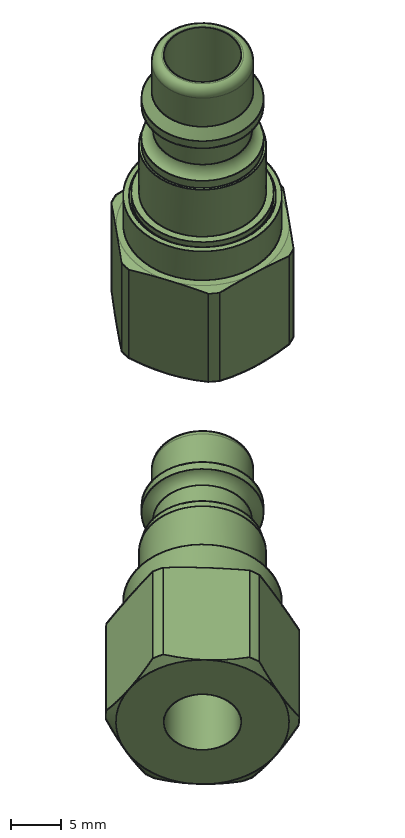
import cadquery as cq
import math

HEX_ACROSS_FLATS = 17.0
HEX_CORNER_DIAMETER = 19.0
HEX_HEIGHT = 13.0
HEX_BOTTOM_CHAMFER_ANGLE = 30.0
HEX_TOP_CHAMFER_ANGLE = 10.0

COLLAR_DIAMETER = 15.6
COLLAR_HEIGHT = 4.0
RELIEF_DIAMETER = 14.45
RELIEF_DEPTH = 0.2
RING_DIAMETER = 14.0
RING_HEIGHT = 0.5
BODY_DIAMETER = 12.5
BODY_HEIGHT = 6.5
FLANGE_DIAMETER = 12.0
FLANGE_HEIGHT = 1.0
NECK_DIAMETER = 9.75
GROOVE_ARC_RADIUS = 1.6
GROOVE_HEIGHT = 4.5
TIP_DIAMETER = 10.0
TIP_HEIGHT = 5.0
TIP_ROUND_RADIUS = 1.0
BORE_DIAMETER = 7.6

collar_top = HEX_HEIGHT + COLLAR_HEIGHT
ring_top = collar_top + RING_HEIGHT
body_top = ring_top + BODY_HEIGHT
shoulder_top = body_top + FLANGE_HEIGHT
flange_bottom = shoulder_top + GROOVE_HEIGHT
flange_top = flange_bottom + FLANGE_HEIGHT

cone_top = flange_top + (FLANGE_DIAMETER - TIP_DIAMETER) / 2
total_height = cone_top + TIP_HEIGHT


def make_hexagon():
    """Hexagon with corners rounded and both ends chamfered by a turned envelope."""
    flat_radius = HEX_ACROSS_FLATS / 2
    corner_radius = HEX_CORNER_DIAMETER / 2
    chamfer_width = corner_radius - flat_radius
    bottom_chamfer = chamfer_width * math.tan(math.radians(HEX_BOTTOM_CHAMFER_ANGLE))
    top_chamfer = chamfer_width * math.tan(math.radians(HEX_TOP_CHAMFER_ANGLE))
    prism = (
        cq.Workplane("XY")
        .polygon(6, HEX_ACROSS_FLATS, circumscribed=True)
        .extrude(HEX_HEIGHT)
    )
    envelope = (
        cq.Workplane("XZ")
        .moveTo(0, 0)
        .lineTo(flat_radius, 0)
        .lineTo(corner_radius, bottom_chamfer)
        .lineTo(corner_radius, HEX_HEIGHT - top_chamfer)
        .lineTo(flat_radius, HEX_HEIGHT)
        .lineTo(0, HEX_HEIGHT)
        .close()
        .revolve(360, (0, 0, 0), (0, 1, 0))
    )
    return prism.intersect(envelope)


def make_stem():
    """Turned plug: collar, relief, ring, body, locking groove, flange and rounded tip."""
    collar_radius = COLLAR_DIAMETER / 2
    relief_radius = RELIEF_DIAMETER / 2
    relief_floor = collar_top - RELIEF_DEPTH
    ring_radius = RING_DIAMETER / 2
    body_radius = BODY_DIAMETER / 2
    flange_radius = FLANGE_DIAMETER / 2
    neck_radius = NECK_DIAMETER / 2
    tip_radius = TIP_DIAMETER / 2
    groove_flare = flange_radius - neck_radius
    return (
        cq.Workplane("XZ")
        .moveTo(0, HEX_HEIGHT)
        .lineTo(collar_radius, HEX_HEIGHT)
        .lineTo(collar_radius, collar_top)
        .lineTo(relief_radius, collar_top)
        .lineTo(relief_radius, relief_floor)
        .lineTo(ring_radius, relief_floor)
        .lineTo(ring_radius, ring_top)
        .lineTo(body_radius, ring_top)
        .lineTo(body_radius, body_top)
        .lineTo(flange_radius, body_top)
        .lineTo(flange_radius, shoulder_top)
        .radiusArc((neck_radius, shoulder_top + groove_flare), GROOVE_ARC_RADIUS)
        .lineTo(neck_radius, flange_bottom - groove_flare)
        .radiusArc((flange_radius, flange_bottom), GROOVE_ARC_RADIUS)
        .lineTo(flange_radius, flange_top)
        .lineTo(tip_radius, cone_top)
        .lineTo(tip_radius, total_height - TIP_ROUND_RADIUS)
        .radiusArc((tip_radius - TIP_ROUND_RADIUS, total_height), -TIP_ROUND_RADIUS)
        .lineTo(0, total_height)
        .close()
        .revolve(360, (0, 0, 0), (0, 1, 0))
    )


def make_bore():
    """Straight passage through the whole fitting."""
    return cq.Workplane("XY").circle(BORE_DIAMETER / 2).extrude(total_height)


result = make_hexagon().union(make_stem()).cut(make_bore())